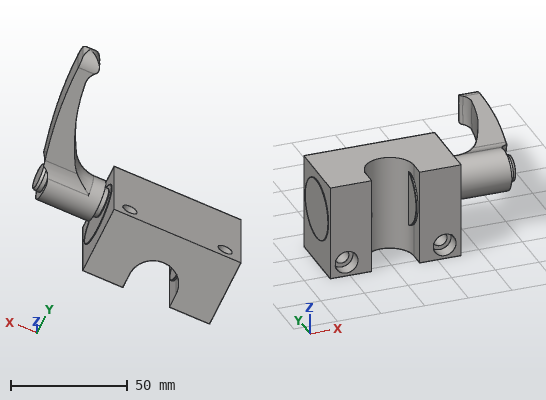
import cadquery as cq
import math

BLOCK_X = 60.0
BLOCK_Y = 31.95
BLOCK_Z = 44.0
SLOT_WIDTH = 22.0
SLOT_DEPTH = 17.9
HOLE_DIAMETER = 6.6
COUNTERBORE_DIAMETER = 10.4
COUNTERBORE_DEPTH = 6.0
HOLE_SPACING = 45.0
HOLE_Z = 6.6

PAD_DIAMETER = 28.0
PAD_Z = 26.0
PAD_OUTER_RISE = 0.3
PAD_SLOT_RISE = 0.9
PAD_CHAMFER = 0.25

AXIS_Y = 21.5
AXIS_Z = PAD_Z
COLLAR_DIAMETER = 13.5
COLLAR_CHAMFER = 0.5
BARREL_DIAMETER = 18.9
BARREL_START_X = 63.3
BARREL_END_X = 87.8
CAP_DIAMETER = 12.5
CAP_END_X = 91.0
CAP_CHAMFER_LENGTH = 1.3
CAP_CHAMFER_DEPTH = 0.6
ARM_THICKNESS = 13.8
ARM_REACH = 63.6
ARM_ROOT_X = 69.2
ARM_HEEL_X = 90.9
ARM_HEEL_RADIUS = 4.9
NECK_FILLET = 15.0
RELIEF_RADIUS = 8.0
RELIEF_START = 1.1

COLLAR_START_X = BLOCK_X + PAD_OUTER_RISE
ARM_BACK_X = 98.6 - PAD_OUTER_RISE
BARREL_RADIUS = BARREL_DIAMETER / 2


def x_cylinder(diameter, start_x, end_x, y, z):
    """Cylinder along X between two X positions."""
    return (
        cq.Workplane("YZ", origin=(start_x, y, z))
        .circle(diameter / 2)
        .extrude(end_x - start_x)
    )


def make_block():
    block = cq.Workplane("XY").box(BLOCK_X, BLOCK_Y, BLOCK_Z, centered=False)
    mid_x = BLOCK_X / 2
    slot_radius = SLOT_WIDTH / 2
    slot = (
        cq.Workplane("XY")
        .moveTo(mid_x - slot_radius, 0)
        .lineTo(mid_x - slot_radius, SLOT_DEPTH - slot_radius)
        .threePointArc((mid_x, SLOT_DEPTH), (mid_x + slot_radius, SLOT_DEPTH - slot_radius))
        .lineTo(mid_x + slot_radius, 0)
        .close()
        .extrude(BLOCK_Z)
    )
    block = block.cut(slot)

    jaw_width = mid_x - slot_radius
    pad_length = PAD_OUTER_RISE + jaw_width + PAD_SLOT_RISE
    for start_x in (-PAD_OUTER_RISE, BLOCK_X + PAD_OUTER_RISE - pad_length):
        pad = x_cylinder(PAD_DIAMETER, start_x, start_x + pad_length, BLOCK_Y / 2, PAD_Z)
        block = block.union(pad.edges().chamfer(PAD_CHAMFER))

    for side in (-1, 1):
        hole_plane = cq.Workplane("XZ", origin=(mid_x + side * HOLE_SPACING / 2, 0, HOLE_Z))
        block = block.cut(hole_plane.circle(HOLE_DIAMETER / 2).extrude(-BLOCK_Y))
        block = block.cut(hole_plane.circle(COUNTERBORE_DIAMETER / 2).extrude(-COUNTERBORE_DEPTH))
    return block


def make_lever_envelope():
    """Lever outline (X, distance from the barrel axis), turned about the axis."""
    return (
        cq.Workplane("XY", origin=(0, AXIS_Y, AXIS_Z))
        .moveTo(BARREL_START_X, 0)
        .lineTo(BARREL_START_X, BARREL_RADIUS)
        .lineTo(ARM_ROOT_X, BARREL_RADIUS)
        .threePointArc((75.8, 11.6), (80.5, 16.4))
        .threePointArc((87.7, 31.6), (92.3, 50.9))
        .threePointArc((92.2, 54.2), (90.6, 57.2))
        .threePointArc((89.6, 58.8), (90.4, 61.0))
        .threePointArc((92.4, 62.7), (95.5, ARM_REACH))
        .threePointArc((97.4, 63.0), (ARM_BACK_X, 61.3))
        .lineTo(ARM_BACK_X, 56.8)
        .threePointArc((96.8, 33.8), (92.3, 10.9))
        .lineTo(ARM_HEEL_X, ARM_HEEL_RADIUS)
        .lineTo(ARM_HEEL_X, 0)
        .close()
        .revolve(360, (0, 0, 0), (1, 0, 0))
    )


def make_lever_section():
    """Barrel circle and round-tipped arm in YZ, joined by tangent neck fillets."""
    half = ARM_THICKNESS / 2
    fillet_z = half + NECK_FILLET
    center_distance = BARREL_RADIUS + NECK_FILLET
    fillet_y = math.sqrt(center_distance**2 - fillet_z**2)
    tangent_y = fillet_y * BARREL_RADIUS / center_distance
    tangent_z = fillet_z * BARREL_RADIUS / center_distance
    middle_angle = (math.atan2(fillet_z, fillet_y) + math.pi / 2) / 2
    middle_y = fillet_y - NECK_FILLET * math.cos(middle_angle)
    middle_z = fillet_z - NECK_FILLET * math.sin(middle_angle)
    length = ARM_BACK_X - BARREL_START_X
    return (
        cq.Workplane("YZ", origin=(BARREL_START_X, AXIS_Y, AXIS_Z))
        .moveTo(tangent_y, -tangent_z)
        .threePointArc((middle_y, -middle_z), (fillet_y, -half))
        .lineTo(ARM_REACH - half, -half)
        .threePointArc((ARM_REACH, 0), (ARM_REACH - half, half))
        .lineTo(fillet_y, half)
        .threePointArc((middle_y, middle_z), (tangent_y, tangent_z))
        .threePointArc((-BARREL_RADIUS, 0), (tangent_y, -tangent_z))
        .close()
        .extrude(length)
    )


def make_relief():
    """Space beyond the barrel end, rounded where it runs out under the arm."""
    center_x = BARREL_END_X + RELIEF_RADIUS
    diagonal = RELIEF_RADIUS * math.sqrt(0.5)
    return (
        cq.Workplane("XY", origin=(0, AXIS_Y, AXIS_Z))
        .moveTo(BARREL_END_X, -BARREL_DIAMETER)
        .lineTo(BARREL_END_X, RELIEF_START)
        .threePointArc(
            (center_x - diagonal, RELIEF_START + diagonal),
            (center_x, RELIEF_START + RELIEF_RADIUS),
        )
        .lineTo(center_x, -BARREL_DIAMETER)
        .close()
        .extrude(BARREL_DIAMETER, both=True)
    )


def make_cap():
    """End cap with a bevelled rim."""
    cap = x_cylinder(CAP_DIAMETER, BARREL_END_X, CAP_END_X, AXIS_Y, AXIS_Z)
    return cap.faces(">X").chamfer(CAP_CHAMFER_LENGTH, CAP_CHAMFER_DEPTH)


def make_lever():
    collar = x_cylinder(COLLAR_DIAMETER, COLLAR_START_X, BARREL_START_X, AXIS_Y, AXIS_Z)
    collar = collar.faces("<X").chamfer(COLLAR_CHAMFER)
    lever = make_lever_envelope().intersect(make_lever_section()).cut(make_relief())
    return lever.union(collar).union(make_cap())


block = make_block()
lever = make_lever()
result = cq.Compound.makeCompound([block.val(), lever.val()])